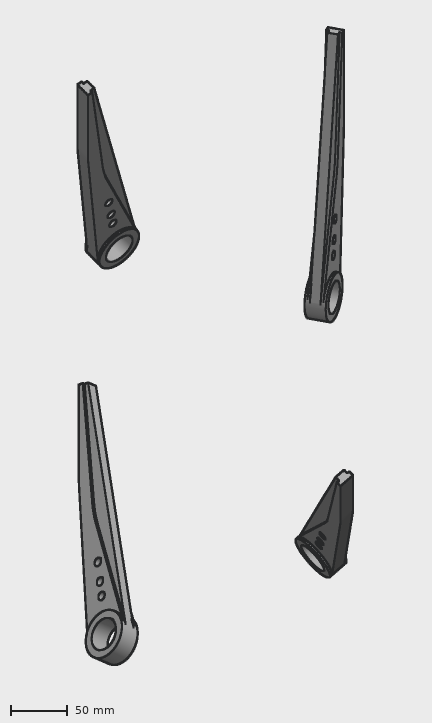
import cadquery as cq
import math

HUB_DIAMETER = 45.0
BORE_DIAMETER = 30.0
HUB_LENGTH = 20.0
HUB_RADIUS = HUB_DIAMETER / 2

ARM_THICKNESS = 15.0
WEB_THICKNESS = 10.0
TIP_HEIGHT = 255.0
TIP_WIDTH = 9.19
TIP_THICK_WIDTH = 4.96
FRONT_Y = -33.57
BEND_RADIUS = 100.0

FRONT_BEND = (FRONT_Y, 160.0)
STEP_BEND = (-15.85, 123.9)

HOLE_DIAMETER = 8.0
HOLE_DISTANCES = (40.0, 55.0, 75.0)
HOLE_RAY_LEAN = 7.5

TIP_FRONT = (FRONT_Y, TIP_HEIGHT)
TIP_STEP = (FRONT_Y + TIP_THICK_WIDTH, TIP_HEIGHT)
TIP_BACK = (FRONT_Y + TIP_WIDTH, TIP_HEIGHT)


def hub_tangent(point, side):
    """Point where a line from `point` touches the hub; side is +1 for +Y, -1 for -Y."""
    y, z = point
    direction = math.atan2(z, y)
    half_angle = math.acos(HUB_RADIUS / math.hypot(y, z))
    angle = direction - side * half_angle
    return (HUB_RADIUS * math.cos(angle), HUB_RADIUS * math.sin(angle))


def cylinder(diameter, length, y=0.0, z=0.0):
    """Cylinder along X, centred on the plane X = 0."""
    end_plane = cq.Workplane("YZ", origin=(-length / 2, y, z))
    return end_plane.circle(diameter / 2).extrude(length)


def bend_arc(before, corner, after):
    """Start, middle and end of the arc that rounds `corner` between its two neighbours."""
    corner_point = cq.Vector(*corner)
    toward_before = (cq.Vector(*before) - corner_point).normalized()
    toward_after = (cq.Vector(*after) - corner_point).normalized()
    half_turn = (math.pi - toward_before.getAngle(toward_after)) / 2
    setback = BEND_RADIUS * math.tan(half_turn)
    depth = BEND_RADIUS / math.cos(half_turn) - BEND_RADIUS
    start = corner_point + toward_before * setback
    middle = corner_point + (toward_before + toward_after).normalized() * depth
    end = corner_point + toward_after * setback
    return start, middle, end


def front_edge_outline(thickness):
    """Open outline shared by both arm plates: the front edge from the tip down to the hub."""
    front_foot = hub_tangent(FRONT_BEND, -1)
    start, middle, end = bend_arc(TIP_FRONT, FRONT_BEND, front_foot)
    side_plane = cq.Workplane("YZ", origin=(-thickness / 2, 0, 0))
    front_edge = side_plane.moveTo(*TIP_FRONT).lineTo(start.x, start.y)
    front_edge = front_edge.threePointArc((middle.x, middle.y), (end.x, end.y))
    return front_edge.lineTo(*front_foot)


def make_web():
    """Thin web over the whole arm outline, tangent to the hub on both sides."""
    outline = front_edge_outline(WEB_THICKNESS).lineTo(*hub_tangent(TIP_BACK, 1)).lineTo(*TIP_BACK)
    return outline.close().extrude(WEB_THICKNESS)


def make_thick_portion():
    """Thick portion between the front edge and the bent step line."""
    step_foot = hub_tangent(STEP_BEND, 1)
    start, middle, end = bend_arc(step_foot, STEP_BEND, TIP_STEP)
    outline = front_edge_outline(ARM_THICKNESS).lineTo(*step_foot).lineTo(start.x, start.y)
    outline = outline.threePointArc((middle.x, middle.y), (end.x, end.y)).lineTo(*TIP_STEP)
    return outline.close().extrude(ARM_THICKNESS)


def cut_holes(body):
    """Bore the hub and drill the row of cross holes through the arm."""
    body = body.cut(cylinder(BORE_DIAMETER, HUB_LENGTH))
    lean = math.radians(HOLE_RAY_LEAN)
    for distance in HOLE_DISTANCES:
        y = -distance * math.sin(lean)
        z = distance * math.cos(lean)
        body = body.cut(cylinder(HOLE_DIAMETER, ARM_THICKNESS, y, z))
    return body


arm = make_web().union(make_thick_portion())
result = cut_holes(arm.union(cylinder(HUB_DIAMETER, HUB_LENGTH)))